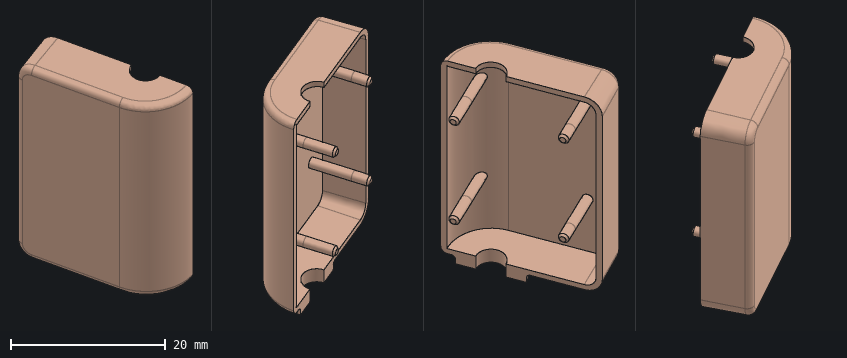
import cadquery as cq
import math


height = 34.3
depth = 7.0
round_axis_x = 15.5
corner_radius = 2.5
edge_fillet = 1.0
wall = 0.9
draft_angle = 1.5

collar_height = 1.37
collar_end_radius = 4.95
collar_base_radius = 5.0
collar_overlap = 0.35
collar_fillet = 0.5
passage_radius = 2.1

pin_radius = 0.75
pin_taper_angle = 0.25
pin_tip_chamfer = 0.3
short_pin_x = 4.5
short_pin_length = 2.5
long_pin_x = 18.95
long_pin_length = 4.5
pin_levels = (11.35, 28.3)


def drafted_block(inset, bottom):
    """Block narrowing toward -Y, with rounded left corners and an oversized right side."""
    right = round_axis_x + 2 * depth
    top = height - inset
    low = bottom + inset
    radius = corner_radius - inset
    return (
        cq.Workplane("XZ")
        .moveTo(right, low)
        .lineTo(inset + radius, low)
        .radiusArc((inset, low + radius), radius)
        .lineTo(inset, top - radius)
        .radiusArc((inset + radius, top), radius)
        .lineTo(right, top)
        .close()
        .extrude(depth, taper=draft_angle)
    )


def side_profile(inset):
    """Prism along Z: flat front that turns into the quarter-round on the right."""
    radius = depth - inset
    diagonal = radius * math.sqrt(0.5)
    return (
        cq.Workplane("XY")
        .lineTo(0, -radius)
        .lineTo(round_axis_x, -radius)
        .threePointArc((round_axis_x + diagonal, -diagonal), (round_axis_x + radius, 0))
        .close()
        .extrude(height)
    )


def housing_block(inset):
    """Housing shape without fillets, moved inward by the inset."""
    return drafted_block(inset, collar_height).intersect(side_profile(inset))


def collar():
    """Half-round tapered collar whose lower end follows the housing draft."""
    top = collar_height + collar_overlap
    cone = (
        cq.Workplane("XZ", origin=(round_axis_x, 0, 0))
        .lineTo(collar_end_radius, 0)
        .lineTo(collar_base_radius, top)
        .lineTo(0, top)
        .close()
        .revolve(360, (0, 0, 0), (0, 1, 0))
    )
    return cone.intersect(drafted_block(0, 0))


def pin(x, z, length):
    """Tapered pin with a chamfered tip, standing on the parting face."""
    tip_radius = pin_radius - length * math.tan(math.radians(pin_taper_angle))
    half_section = (
        cq.Workplane("XY", origin=(x, 0, z))
        .lineTo(pin_radius, 0)
        .lineTo(tip_radius, length - pin_tip_chamfer)
        .lineTo(tip_radius - pin_tip_chamfer, length)
        .lineTo(0, length)
        .close()
    )
    return half_section.revolve(360, (0, 0, 0), (0, 1, 0))


def pin_post(x, z):
    """Post under a pin, long enough to pass through the front wall."""
    return cq.Workplane("XZ", origin=(x, 0, z)).circle(pin_radius).extrude(depth)


outer = housing_block(0).faces("<Y").edges("<X").fillet(edge_fillet)

collar_joint = (round_axis_x, -collar_base_radius / 2, collar_height)
outer = outer.union(collar())
outer = outer.edges(cq.selectors.NearestToPointSelector(collar_joint)).fillet(collar_fillet)

passage = cq.Workplane("XY").center(round_axis_x, 0).circle(passage_radius).extrude(height)
result = outer.cut(housing_block(wall)).cut(passage)

for pin_x, pin_length in ((short_pin_x, short_pin_length), (long_pin_x, long_pin_length)):
    for pin_z in pin_levels:
        post = pin_post(pin_x, pin_z).intersect(outer)
        result = result.union(post).union(pin(pin_x, pin_z, pin_length))